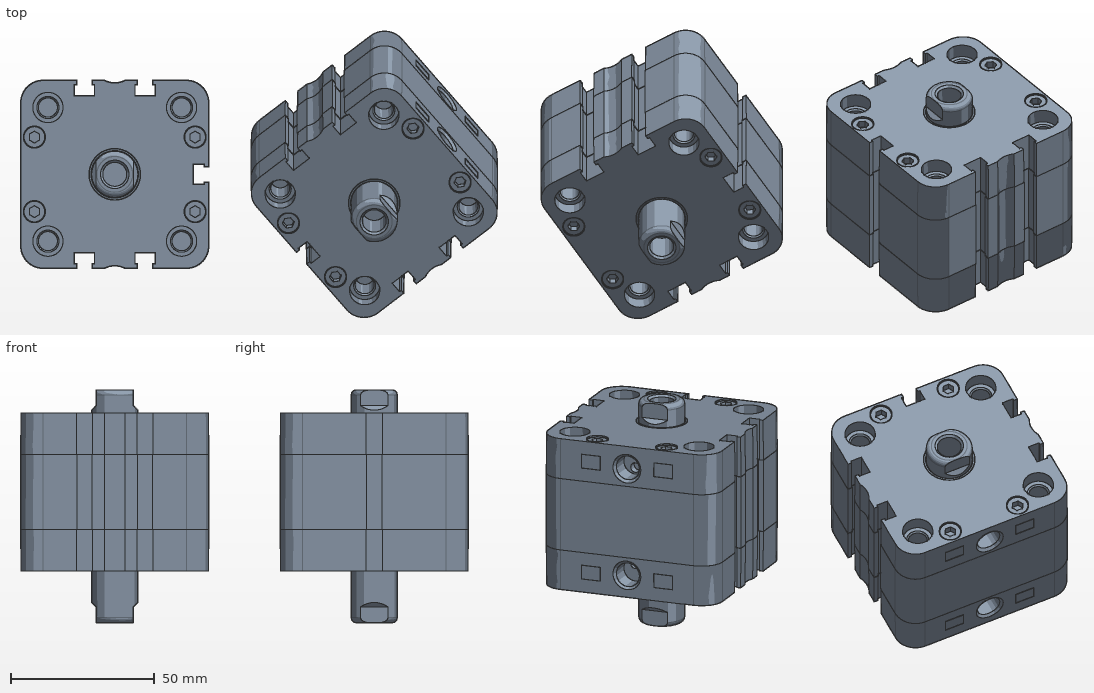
import cadquery as cq
import math

WIDTH = 65.5
BARREL_LENGTH = 26.0
CAP_LENGTH = 14.5
ROD_TOP_REACH = 8.0
ROD_BOTTOM_REACH = 18.0
CORNER_RADIUS = 7.85
CAP_DRAFT = 0.6

HALF_WIDTH = WIDTH / 2
HALF_BARREL = BARREL_LENGTH / 2
CAP_FACE_Z = HALF_BARREL + CAP_LENGTH

GROOVE_WIDTH = 7.1
GROOVE_DEPTH = 0.9

SLOT_OFFSET = 10.5
SLOT_MOUTH = 5.3
SLOT_INNER_WIDTH = 6.8
SLOT_DEPTH = 5.4
SLOT_LIP = 1.7
CAP_SLOT_CLEARANCE = 0.2

MOUNT_OFFSET = 23.25
MOUNT_BORE_DIAMETER = 10.5
MOUNT_BORE_DEPTH = 5.0
MOUNT_THREAD_DIAMETER = 6.65
MOUNT_CHAMFER_DIAMETER = 7.7

SCREW_X = 27.95
SCREW_Y = 13.0
SCREW_RECESS_DIAMETER = 7.7
SCREW_HEAD_DIAMETER = 7.2
SCREW_RECESS_DEPTH = 0.5
HEX_ACROSS_FLATS = 3.6
HEX_DEPTH = 2.5

PORT_DEPTH_FROM_FACE = 8.0
PORT_DIAMETER = 8.6
PORT_CHAMFER_DIAMETER = 10.5
PORT_DEPTH = 8.0
PASSAGE_DIAMETER = 3.5
PASSAGE_SHIFT = 1.95
PASSAGE_LENGTH = 3.2

POCKET_OFFSET = 13.5
POCKET_WIDTH = 7.0
POCKET_HEIGHT = 5.0
POCKET_FROM_FACE = 7.3
POCKET_DEPTH = 0.25

ROD_DIAMETER = 16.0
ROD_END_FILLET = 1.8
FLAT_WIDTH = 13.0
FLAT_LENGTH = 5.5
ROD_THREAD_DIAMETER = 8.35
ROD_THREAD_CHAMFER_DIAMETER = 9.9
ROD_THREAD_DEPTH = 12.0

ROD_HOLE_MOUTH_DIAMETER = 16.5
ROD_RING_INNER_DIAMETER = 17.7
ROD_RING_OUTER_DIAMETER = 18.0


def section():
    """Outer outline: rounded square with a shallow arc groove in the middle of both Y sides."""
    straight = HALF_WIDTH - CORNER_RADIUS
    corner_mid = straight + CORNER_RADIUS * math.sqrt(0.5)
    half_groove = GROOVE_WIDTH / 2
    floor = HALF_WIDTH - GROOVE_DEPTH
    return (
        cq.Workplane("XY")
        .moveTo(-straight, -HALF_WIDTH)
        .lineTo(-half_groove, -HALF_WIDTH)
        .threePointArc((0, -floor), (half_groove, -HALF_WIDTH))
        .lineTo(straight, -HALF_WIDTH)
        .threePointArc((corner_mid, -corner_mid), (HALF_WIDTH, -straight))
        .lineTo(HALF_WIDTH, straight)
        .threePointArc((corner_mid, corner_mid), (straight, HALF_WIDTH))
        .lineTo(half_groove, HALF_WIDTH)
        .threePointArc((0, floor), (-half_groove, HALF_WIDTH))
        .lineTo(-straight, HALF_WIDTH)
        .threePointArc((-corner_mid, corner_mid), (-HALF_WIDTH, straight))
        .lineTo(-HALF_WIDTH, -straight)
        .threePointArc((-corner_mid, -corner_mid), (-straight, -HALF_WIDTH))
        .close()
    )


def slot_cutters(length, clearance):
    """Five T-slots along Z from z = 0: two on each Y side and one on the +X side."""
    mouth = SLOT_MOUTH + 2 * clearance
    inner_width = SLOT_INNER_WIDTH + 2 * clearance
    floor = HALF_WIDTH - SLOT_DEPTH - clearance
    lip = HALF_WIDTH - SLOT_LIP + clearance
    slot = (
        cq.Workplane("XY")
        .box(HALF_WIDTH - floor, mouth, length, centered=(False, True, False))
        .union(cq.Workplane("XY").box(lip - floor, inner_width, length, centered=(False, True, False)))
        .translate((floor, 0, 0))
    )
    cutters = slot
    for angle in (90, -90):
        for offset in (-SLOT_OFFSET, SLOT_OFFSET):
            cutters = cutters.union(slot.rotate((0, 0, 0), (0, 0, 1), angle).translate((offset, 0, 0)))
    return cutters


def countersunk_hole(diameter, mouth_diameter, depth):
    """Cutter for a blind hole going down from z = 0 with a 45 degree mouth."""
    radius = diameter / 2
    mouth_radius = mouth_diameter / 2
    return (
        cq.Workplane("XZ")
        .polyline([
            (0, 0),
            (mouth_radius, 0),
            (radius, radius - mouth_radius),
            (radius, -depth),
            (0, -depth),
        ])
        .close()
        .revolve(360, (0, 0, 0), (0, 1, 0))
    )


def v_groove(inner_diameter, outer_diameter):
    """Ring cutter with a V section in the plane z = 0, with 45 degree sides."""
    inner_radius = inner_diameter / 2
    outer_radius = outer_diameter / 2
    half_width = (outer_radius - inner_radius) / 2
    return (
        cq.Workplane("XZ")
        .polyline([
            (inner_radius, 0),
            (inner_radius + half_width, -half_width),
            (outer_radius, 0),
        ])
        .close()
        .revolve(360, (0, 0, 0), (0, 1, 0))
    )


def make_barrel():
    barrel = section().extrude(BARREL_LENGTH).cut(slot_cutters(BARREL_LENGTH, 0))
    barrel = barrel.translate((0, 0, -HALF_BARREL))
    return barrel.cut(cq.Workplane("XY").circle(ROD_DIAMETER / 2).extrude(BARREL_LENGTH, both=True))


def cut_mounting_holes(cap):
    thread = countersunk_hole(
        MOUNT_THREAD_DIAMETER, MOUNT_CHAMFER_DIAMETER, CAP_LENGTH - MOUNT_BORE_DEPTH
    ).translate((0, 0, -MOUNT_BORE_DEPTH))
    bore = cq.Workplane("XY").circle(MOUNT_BORE_DIAMETER / 2).extrude(-MOUNT_BORE_DEPTH)
    hole = bore.union(thread)
    for x in (-MOUNT_OFFSET, MOUNT_OFFSET):
        for y in (-MOUNT_OFFSET, MOUNT_OFFSET):
            cap = cap.cut(hole.translate((x, y, CAP_LENGTH)))
    return cap


def cut_screw_heads(cap):
    hex_corner_diameter = HEX_ACROSS_FLATS / math.cos(math.radians(30))
    recess = cq.Workplane("XY").circle(SCREW_RECESS_DIAMETER / 2).extrude(-SCREW_RECESS_DEPTH)
    socket = (
        cq.Workplane("XY")
        .polygon(6, hex_corner_diameter)
        .extrude(-SCREW_RECESS_DEPTH - HEX_DEPTH)
        .rotate((0, 0, 0), (0, 0, 1), 90)
    )
    groove = v_groove(SCREW_HEAD_DIAMETER, SCREW_RECESS_DIAMETER).translate((0, 0, -SCREW_RECESS_DEPTH))
    screw_head = recess.union(socket).union(groove)
    for x in (-SCREW_X, SCREW_X):
        for y in (-SCREW_Y, SCREW_Y):
            cap = cap.cut(screw_head.translate((x, y, CAP_LENGTH)))
    return cap


def cut_port(cap):
    """Countersunk air port with a smaller passage in its floor, nearer the barrel."""
    port = countersunk_hole(PORT_DIAMETER, PORT_CHAMFER_DIAMETER, PORT_DEPTH)
    passage = (
        cq.Workplane("XY")
        .center(-PASSAGE_SHIFT, 0)
        .circle(PASSAGE_DIAMETER / 2)
        .extrude(-PORT_DEPTH - PASSAGE_LENGTH)
    )
    cutter = port.union(passage).rotate((0, 0, 0), (0, 1, 0), -90)
    return cap.cut(cutter.translate((-HALF_WIDTH, 0, CAP_LENGTH - PORT_DEPTH_FROM_FACE)))


def cut_pockets(cap):
    """Two shallow rectangular pockets beside the port."""
    pocket = cq.Workplane("XY").box(2 * POCKET_DEPTH, POCKET_WIDTH, POCKET_HEIGHT)
    for y in (-POCKET_OFFSET, POCKET_OFFSET):
        cap = cap.cut(pocket.translate((-HALF_WIDTH, y, CAP_LENGTH - POCKET_FROM_FACE)))
    return cap


def cut_rod_hole(cap):
    """Rod hole with a countersunk mouth, and the fine ring groove around it."""
    hole = countersunk_hole(ROD_DIAMETER, ROD_HOLE_MOUTH_DIAMETER, CAP_LENGTH)
    ring = v_groove(ROD_RING_INNER_DIAMETER, ROD_RING_OUTER_DIAMETER)
    return cap.cut(hole.translate((0, 0, CAP_LENGTH))).cut(ring.translate((0, 0, CAP_LENGTH)))


def make_cap():
    """End cap standing on z = 0 with its outer face up."""
    cap = section().extrude(CAP_LENGTH, taper=CAP_DRAFT)
    cap = cap.cut(slot_cutters(CAP_LENGTH, CAP_SLOT_CLEARANCE))
    cap = cut_mounting_holes(cap)
    cap = cut_screw_heads(cap)
    cap = cut_port(cap)
    cap = cut_pockets(cap)
    return cut_rod_hole(cap)


def flat_cutter():
    """Removes one flat at the +X side of a rod end at z = 0, running out at 45 degrees."""
    flat_x = FLAT_WIDTH / 2
    step = ROD_DIAMETER / 2 - flat_x
    return (
        cq.Workplane("XZ")
        .polyline([
            (flat_x, 0),
            (flat_x, -FLAT_LENGTH),
            (flat_x + step, -FLAT_LENGTH - step),
            (flat_x + step, 0),
        ])
        .close()
        .extrude(ROD_DIAMETER / 2, both=True)
    )


def make_rod():
    top_z = CAP_FACE_Z + ROD_TOP_REACH
    bottom_z = -CAP_FACE_Z - ROD_BOTTOM_REACH
    rod = cq.Workplane("XY").workplane(offset=bottom_z).circle(ROD_DIAMETER / 2).extrude(top_z - bottom_z)
    rod = rod.faces("<Z or >Z").edges().fillet(ROD_END_FILLET)
    thread = countersunk_hole(ROD_THREAD_DIAMETER, ROD_THREAD_CHAMFER_DIAMETER, ROD_THREAD_DEPTH)
    flat = flat_cutter()
    end_cutter = thread.union(flat).union(flat.mirror("YZ"))
    rod = rod.cut(end_cutter.translate((0, 0, top_z)))
    return rod.cut(end_cutter.mirror("XY").translate((0, 0, bottom_z)))


barrel = make_barrel()
top_cap = make_cap().translate((0, 0, HALF_BARREL))
bottom_cap = top_cap.mirror("XY")
rod = make_rod()

result = cq.Compound.makeCompound([barrel.val(), top_cap.val(), bottom_cap.val(), rod.val()])